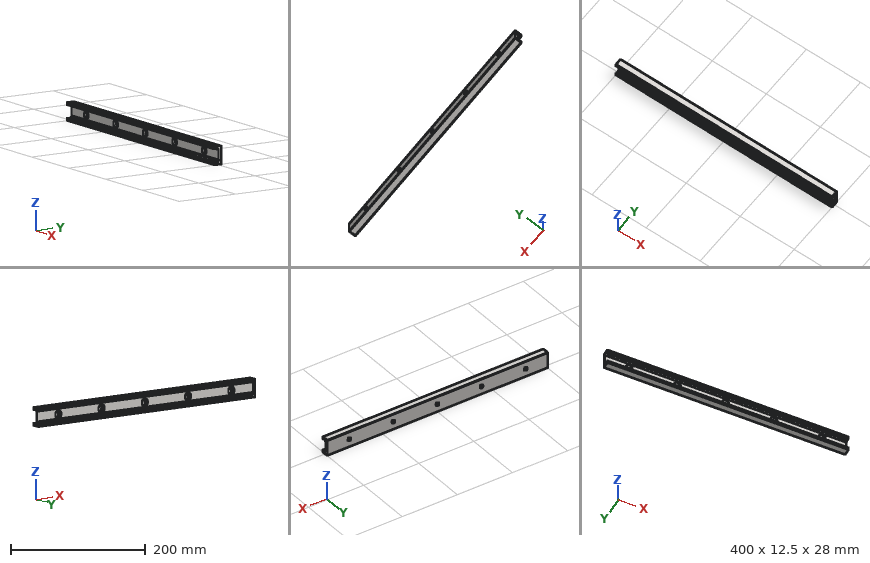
import cadquery as cq

length = 400.0
depth = 12.5
height = 28.0

web_thickness = 5.0
flange_thickness = 3.0
lip_height = 3.8
lip_width = 2.5
lip_slope = 0.5
corner_chamfer_depth = 2.5
corner_chamfer_height = 3.0
edge_chamfer_depth = 0.6
edge_chamfer_height = 0.7

groove_center = -7.0
groove_width = 1.0
groove_depth = 0.6

hole_count = 5
hole_pitch = length / hole_count
hole_diameter = 5.5
countersink_diameter = 11.0
countersink_angle = 90

back = depth / 2
front = -depth / 2
web_face = back - web_thickness
half_height = height / 2
inner_half_height = half_height - flange_thickness
lip_half_height = half_height - lip_height


def make_rail():
    """Extrude the channel section along X."""
    upper_half = [
        (back, half_height - edge_chamfer_height),
        (back - edge_chamfer_depth, half_height),
        (front + edge_chamfer_depth, half_height),
        (front, half_height - edge_chamfer_height),
        (front, lip_half_height),
        (front + lip_width, lip_half_height),
        (front + lip_width + lip_slope, inner_half_height),
        (web_face - corner_chamfer_depth, inner_half_height),
        (web_face, inner_half_height - corner_chamfer_height),
    ]
    lower_half = [(y, -z) for y, z in reversed(upper_half)]
    section = cq.Workplane("YZ").polyline(upper_half + lower_half).close()
    return section.extrude(length / 2, both=True)


def cut_web_groove(rail):
    """Cut the V-groove into the web along the whole length."""
    groove_section = [
        (web_face, groove_center - groove_width / 2),
        (web_face + groove_depth, groove_center),
        (web_face, groove_center + groove_width / 2),
    ]
    groove = cq.Workplane("YZ").polyline(groove_section).close().extrude(length / 2, both=True)
    return rail.cut(groove)


def cut_mounting_holes(rail):
    """Cut a row of holes through the web, countersunk from the channel side."""
    web_plane = cq.Plane(origin=(0, web_face, 0), xDir=(1, 0, 0), normal=(0, -1, 0))
    return (
        rail.copyWorkplane(cq.Workplane(web_plane))
        .rarray(hole_pitch, 4, hole_count, 1)
        .cskHole(hole_diameter, countersink_diameter, countersink_angle)
    )


result = cut_mounting_holes(cut_web_groove(make_rail()))